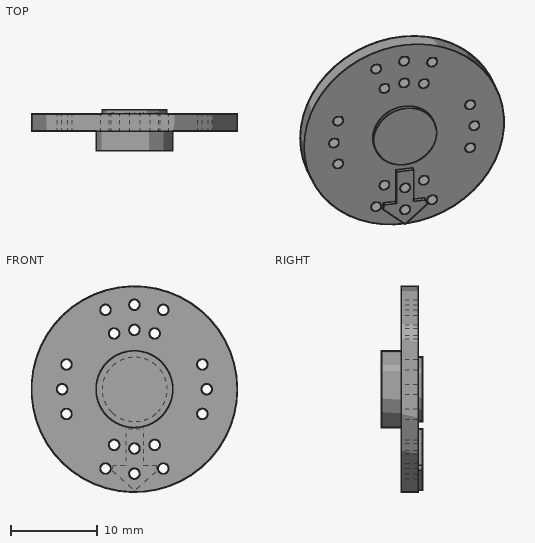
import cadquery as cq
import math

disc_diameter = 23.88
disc_thickness = 2.0

front_boss_diameter = 8.9
front_boss_height = 2.28
back_boss_diameter = 7.5
raised_height = 0.5

hole_diameter = 1.2
hole_spread_angle = 20
outer_vertical_radius = 9.785
inner_vertical_radius = 6.87
horizontal_radius = 8.38
hole_groups = [
    (outer_vertical_radius, 90),
    (outer_vertical_radius, 270),
    (inner_vertical_radius, 90),
    (inner_vertical_radius, 270),
    (horizontal_radius, 0),
    (horizontal_radius, 180),
]

arrow_tail_z = -4.6
arrow_shoulder_z = -8.8
arrow_barb_z = -9.37
arrow_tip_z = -11.72
arrow_stem_width = 2.0
arrow_head_width = 5.3
barb_inset = 0.17


def cylinder_along_y(diameter, start_y, length):
    """Cylinder on the Y axis, running toward +Y from start_y."""
    return cq.Workplane("XZ", origin=(0, start_y, 0)).circle(diameter / 2).extrude(-length)


def make_arrow():
    """Arrow plate standing on the back face, symmetric about X = 0."""
    barb_x = arrow_head_width / 2
    shoulder_x = barb_x - barb_inset
    stem_x = arrow_stem_width / 2
    right_side = [
        (stem_x, arrow_tail_z),
        (stem_x, arrow_shoulder_z),
        (shoulder_x, arrow_shoulder_z),
        (barb_x, arrow_barb_z),
    ]
    left_side = [(-x, z) for x, z in reversed(right_side)]
    outline = right_side + [(0, arrow_tip_z)] + left_side
    return (
        cq.Workplane("XZ", origin=(0, disc_thickness, 0))
        .polyline(outline)
        .close()
        .extrude(-raised_height)
    )


def make_holes():
    """Cutters for all the small holes, passing through the disc and the arrow."""
    centers = []
    for radius, axis_angle in hole_groups:
        for offset in (-hole_spread_angle, 0, hole_spread_angle):
            angle = math.radians(axis_angle + offset)
            centers.append((radius * math.cos(angle), radius * math.sin(angle)))
    return (
        cq.Workplane("XZ")
        .pushPoints(centers)
        .circle(hole_diameter / 2)
        .extrude(-(disc_thickness + raised_height))
    )


disc = cylinder_along_y(disc_diameter, 0, disc_thickness)
front_boss = cylinder_along_y(front_boss_diameter, -front_boss_height, front_boss_height)
back_boss = cylinder_along_y(back_boss_diameter, disc_thickness, raised_height)

result = disc.union(front_boss).union(back_boss).union(make_arrow()).cut(make_holes())